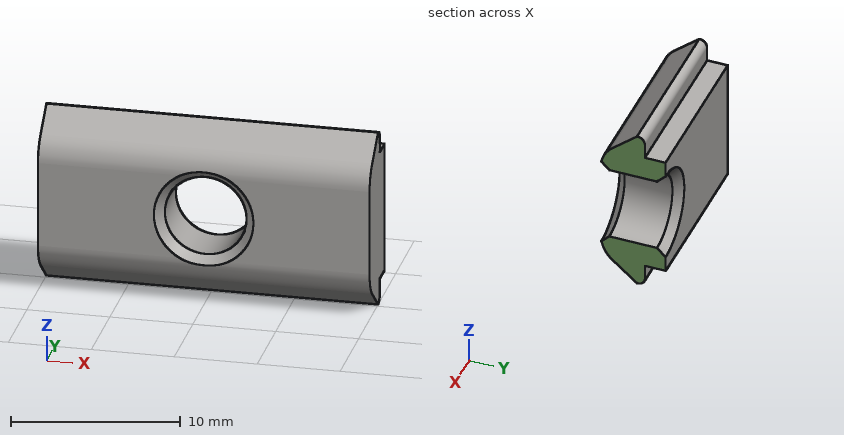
import cadquery as cq
import math

LENGTH = 20.0
DEPTH = 4.1
HEIGHT = 11.0

RIB_HEIGHT = 8.1
RIB_DEPTH = 1.3

WING_EDGE_RADIUS = 0.5
FLANK_ANGLE = 50.0
SHOULDER_RADIUS = 2.0

HOLE_DIAMETER = 4.917
COUNTERSINK_DIAMETER = 6.0
COUNTERSINK_ANGLE = 90.0

FRONT_Y = -DEPTH / 2
REAR_Y = DEPTH / 2


def upper_half_profile():
    """Closed YZ outline of the half above Z = 0, extruded along X."""
    top_z = HEIGHT / 2
    rib_z = RIB_HEIGHT / 2
    shelf_y = REAR_Y - RIB_DEPTH
    tip_y = shelf_y - WING_EDGE_RADIUS
    edge_start_z = top_z - WING_EDGE_RADIUS
    edge_mid_offset = WING_EDGE_RADIUS * (1 - math.sqrt(0.5))

    angle = math.radians(FLANK_ANGLE)
    corner_z = top_z - (tip_y - FRONT_Y) / math.tan(angle)

    flat_z = corner_z - SHOULDER_RADIUS * math.tan(angle / 2)

    def shoulder_point(turn):
        y = FRONT_Y + SHOULDER_RADIUS * (1 - math.cos(turn))
        z = flat_z + SHOULDER_RADIUS * math.sin(turn)
        return (y, z)

    return (
        cq.Workplane("YZ", origin=(-LENGTH / 2, 0, 0))
        .moveTo(REAR_Y, 0)
        .lineTo(REAR_Y, rib_z)
        .lineTo(shelf_y, rib_z)
        .lineTo(shelf_y, edge_start_z)
        .threePointArc(
            (shelf_y - edge_mid_offset, top_z - edge_mid_offset),
            (tip_y, top_z),
        )
        .lineTo(*shoulder_point(angle))
        .threePointArc(shoulder_point(angle / 2), (FRONT_Y, flat_z))
        .lineTo(FRONT_Y, 0)
        .close()
    )


def make_body():
    upper_half = upper_half_profile().extrude(LENGTH)
    return upper_half.union(upper_half.mirror("XY")).clean()


def cut_hole(body):
    """Through hole at the centre, along Y, countersunk from both faces."""
    drill_front = cq.Workplane("XZ", origin=(0, FRONT_Y, 0))
    drill_rear = cq.Workplane("ZX", origin=(0, REAR_Y, 0))
    for face_plane in (drill_front, drill_rear):
        body = body.copyWorkplane(face_plane).cskHole(
            HOLE_DIAMETER, COUNTERSINK_DIAMETER, COUNTERSINK_ANGLE
        )
    return body


result = cut_hole(make_body())